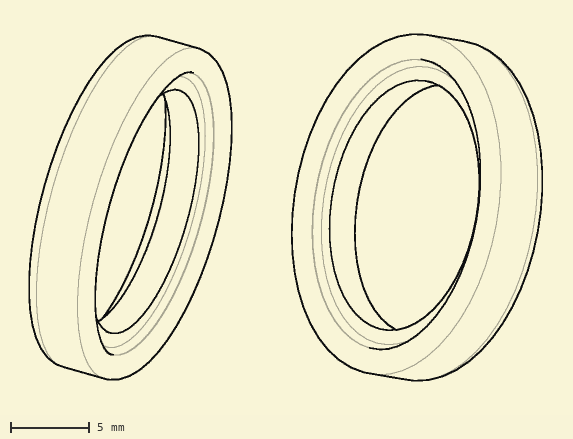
import cadquery as cq

width = 4.5
outer_radius = 10.9
lip_inner_radius = 18.6 / 2
bore_radius = 16.0 / 2
corner_fillet = 0.4
web_thickness = 2.0

half_width = width / 2
half_web = web_thickness / 2
lip_round = (outer_radius - lip_inner_radius) / 2
lip_middle_radius = outer_radius - lip_round
lip_start = half_width - lip_round
fillet_end = half_web + corner_fillet
fillet_foot_radius = lip_inner_radius - corner_fillet
fillet_mid = corner_fillet * (1 - 0.5**0.5)

section = (
    cq.Workplane("XY")
    .moveTo(-half_web, bore_radius)
    .lineTo(-half_web, fillet_foot_radius)
    .threePointArc(
        (-half_web - fillet_mid, lip_inner_radius - fillet_mid),
        (-fillet_end, lip_inner_radius),
    )
    .lineTo(-lip_start, lip_inner_radius)
    .threePointArc((-half_width, lip_middle_radius), (-lip_start, outer_radius))
    .lineTo(lip_start, outer_radius)
    .threePointArc((half_width, lip_middle_radius), (lip_start, lip_inner_radius))
    .lineTo(fillet_end, lip_inner_radius)
    .threePointArc(
        (half_web + fillet_mid, lip_inner_radius - fillet_mid),
        (half_web, fillet_foot_radius),
    )
    .lineTo(half_web, bore_radius)
    .close()
)

result = section.revolve(360, (0, 0, 0), (1, 0, 0))